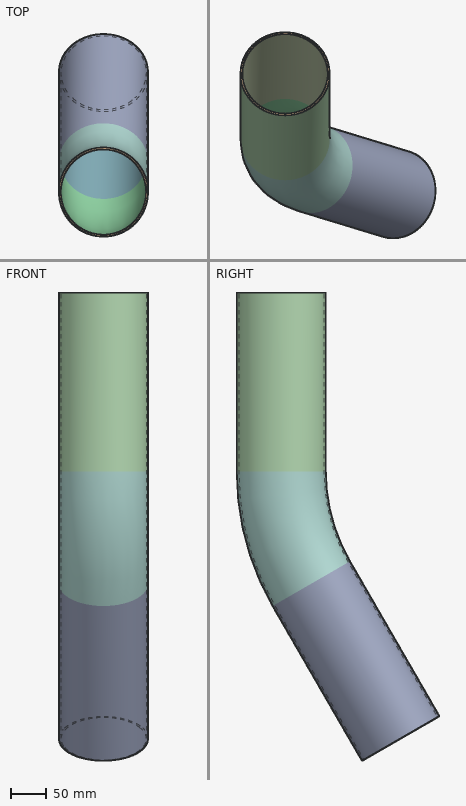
import cadquery as cq
import math

overall_height = 664.5
outer_diameter = 127.0
inner_diameter = 121.0
bend_angle = 30.0
leg_length = 2 * outer_diameter

bend_sin = math.sin(math.radians(bend_angle))
bend_cos = math.cos(math.radians(bend_angle))
legs_height = leg_length * (1 + bend_cos)
rim_drop = outer_diameter / 2 * bend_sin
bend_radius = (overall_height - legs_height - rim_drop) / bend_sin


def bend_point(angle):
    """Centerline point (Y, Z) in the bend, measured from its upper end at the origin."""
    turn = math.radians(angle)
    return (bend_radius * (1 - math.cos(turn)), -bend_radius * math.sin(turn))


bend_end = bend_point(bend_angle)
lower_end = (bend_end[0] + leg_length * bend_sin, bend_end[1] - leg_length * bend_cos)
centerline = (
    cq.Workplane("YZ")
    .moveTo(0, leg_length)
    .lineTo(0, 0)
    .threePointArc(bend_point(bend_angle / 2), bend_end)
    .lineTo(*lower_end)
)

result = (
    cq.Workplane("XY", origin=(0, 0, leg_length))
    .circle(outer_diameter / 2)
    .circle(inner_diameter / 2)
    .sweep(centerline)
)